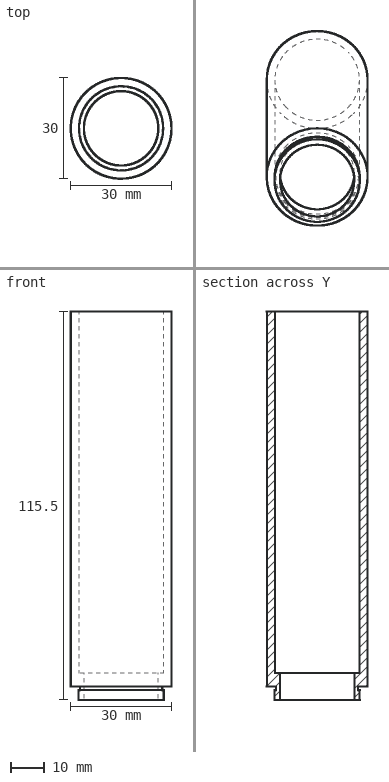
import cadquery as cq

total_length = 115.5
body_diameter = 30.0

spigot_diameter = 25.4
spigot_length = 4.0
groove_diameter = 24.5
groove_width = 1.0

socket_diameter = 25.1
passage_diameter = 22.1
passage_length = 2 * spigot_length

body_length = total_length - spigot_length
socket_depth = total_length - passage_length


def cylinder(diameter, bottom, height):
    """Solid cylinder on the Z axis, rising from the given bottom level."""
    return cq.Workplane("XY").workplane(offset=bottom).circle(diameter / 2).extrude(height)


spigot = cylinder(spigot_diameter, 0, spigot_length - groove_width)
groove_core = cylinder(groove_diameter, spigot_length - groove_width, groove_width)
body = cylinder(body_diameter, spigot_length, body_length)
outside = spigot.union(groove_core).union(body)

passage = cylinder(passage_diameter, 0, total_length)
socket = cylinder(socket_diameter, passage_length, socket_depth)

result = outside.cut(passage).cut(socket)